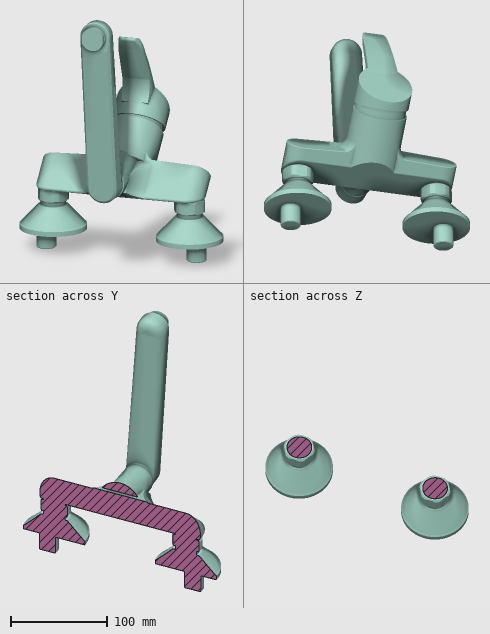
import cadquery as cq
import math

HEIGHT = 273.0
BODY_BOTTOM = 67.1
INLET_X = 74.8

AXIS_Z = 70.5
ARM_RADIUS = 16.7
ARM_TOP = 26.2
ARM_CROWN = 3.3
BARREL_RADIUS = 28.5
BARREL_START = 25.0
BARREL_END = 71.0
COLLAR_RADIUS = 26.8
COLLAR_END = 84.5
ARM_EDGE = 0.8
ARM_LOWER_EDGE = 2.2

SPOUT_AXIS_Z = 87.0
NECK_RADIUS = 17.0
NECK_FRONT = -42.3
NECK_REAR = 4.0
NECK_REAR_TOP = 112.0
GUSSET_REACH = 51.9
GUSSET_DEPTH = 30.5
GUSSET_BOW = 0.25
GUSSET_TIP_Z = 80.5
FLARE_RADIUS = 12.5
UNDERSIDE_FRONT = -21.3

CAP_RADIUS = 28.7
LEVER_ROOT_X = 16.0
LEVER_TIP_X = 13.5
LEVER_ROOT_Y = 60.5
LEVER_TIP_Y = 31.7
LEVER_END_Y = 19.0
LEVER_START = 88.0

SPOUT_RADIUS = 16.0
HEAD_Z = HEIGHT - SPOUT_RADIUS
SPOUT_REAR_LOW = -45.9
SPOUT_FRONT_LOW = -66.0
SPOUT_REAR_HIGH = -67.5
SPOUT_FRONT_HIGH = -89.3
ROUND_LOW = 2.2
ROUND_HIGH = 10.0
SPOUT_FRONT_BEVEL = 2.5
HEAD_FRONT = -87.3
HEAD_BEVEL = 0.8
JOINT_RADIUS = 15.5

OUTLET_RADIUS = 12.0
OUTLET_END = -95.8
OUTLET_FLAT_X = 11.2
OUTLET_FLAT_HEIGHT = 9.3
OUTLET_FLAT_DEPTH = 4.6

PIPE_OFFSET = 7.6
PIPE_RADIUS = 10.5
PIPE_BEVEL = 0.8
ROSE_BOTTOM = 21.0
ROSE_RIM_TOP = 26.2
ROSE_TOP = 47.2
ROSE_RADIUS = 35.2
ROSE_SHOULDER = 33.5
ROSE_SHOULDER_Z = 27.5
ROSE_TOP_RADIUS = 15.3
STEM_RADIUS = 13.0
NUT_BOTTOM = 51.3
NUT_TOP = 66.3
NUT_RADIUS = 16.5
NUT_FLATS = 30.5
NUT_BEVEL = 2.0
NUT_TURN = 30

OVERLAP = 2.7
LARGE = 546.0


def tilted(distance):
    """Plane square to the body axis, at a distance along that axis."""
    base = cq.Plane(origin=(0, 0, AXIS_Z), xDir=(1, 0, 0), normal=(0, 1, 1))
    return cq.Workplane(base).workplane(offset=distance)


def along_tilt():
    """Plane holding the X axis and the body axis."""
    return cq.Plane(origin=(0, 0, AXIS_Z), xDir=(1, 0, 0), normal=(0, -1, 1))


def along_spout(front, rear, radius, height):
    """Cylinder parallel to Y between two Y positions."""
    plane = cq.Workplane("XZ", origin=(0, front, height))
    return plane.circle(radius).extrude(front - rear)


def below_body():
    return cq.Workplane("XY").box(LARGE, LARGE, LARGE).translate((0, 0, BODY_BOTTOM - LARGE / 2))


def make_arm():
    half_length = INLET_X + ARM_RADIUS
    peak = ARM_TOP + ARM_CROWN
    slab = tilted(peak).slot2D(2 * half_length, 2 * ARM_RADIUS).extrude(-3 * peak)
    roof = (
        cq.Workplane(along_tilt())
        .moveTo(-half_length, -2 * peak)
        .lineTo(-half_length, ARM_TOP)
        .lineTo(-INLET_X, ARM_TOP)
        .lineTo(0, peak)
        .lineTo(INLET_X, ARM_TOP)
        .lineTo(half_length, ARM_TOP)
        .lineTo(half_length, -2 * peak)
        .close()
        .extrude(ARM_RADIUS, both=True)
    )
    arm = slab.intersect(roof).cut(below_body())
    arm = arm.faces("<Z").edges().fillet(ARM_LOWER_EDGE)
    upper_start = BODY_BOTTOM + 2 * ARM_LOWER_EDGE
    upper = cq.selectors.BoxSelector((-LARGE, -LARGE, upper_start), (LARGE, LARGE, LARGE))
    return arm.edges(upper).edges("not(#X)").fillet(ARM_EDGE)


def make_barrel():
    barrel = tilted(BARREL_START).circle(BARREL_RADIUS).extrude(BARREL_END - BARREL_START)
    heel = (
        tilted(BARREL_START)
        .moveTo(-BARREL_RADIUS, 0)
        .threePointArc((0, BARREL_RADIUS), (BARREL_RADIUS, 0))
        .close()
        .extrude(-2 * BARREL_START)
    )
    return barrel.union(heel).cut(below_body())


def make_neck():
    rear_half_height = (NECK_REAR_TOP - BODY_BOTTOM) / 2
    rear_centre = (NECK_REAR_TOP + BODY_BOTTOM) / 2
    return (
        cq.Workplane("XZ", origin=(0, NECK_FRONT, 0))
        .center(0, SPOUT_AXIS_Z)
        .ellipse(NECK_RADIUS, NECK_RADIUS)
        .workplane(offset=NECK_FRONT - NECK_REAR)
        .center(0, rear_centre - SPOUT_AXIS_Z)
        .ellipse(NECK_RADIUS, rear_half_height)
        .loft(ruled=True)
    )


def make_gussets():
    bow_x = NECK_RADIUS + GUSSET_BOW * (GUSSET_REACH - NECK_RADIUS)
    bow_depth = ARM_RADIUS + GUSSET_BOW * (GUSSET_DEPTH - ARM_RADIUS)
    webs = (
        tilted(ARM_TOP)
        .moveTo(-GUSSET_REACH, -ARM_RADIUS)
        .threePointArc((-bow_x, -bow_depth), (-NECK_RADIUS, -GUSSET_DEPTH))
        .lineTo(NECK_RADIUS, -GUSSET_DEPTH)
        .threePointArc((bow_x, -bow_depth), (GUSSET_REACH, -ARM_RADIUS))
        .lineTo(GUSSET_REACH, 0)
        .lineTo(-GUSSET_REACH, 0)
        .close()
        .extrude(-3 * ARM_TOP)
    )
    ridge_y = (ARM_TOP - ARM_RADIUS) / math.sqrt(2)
    ridge_z = AXIS_Z + (ARM_TOP + ARM_RADIUS) / math.sqrt(2)
    envelope = (
        cq.Workplane("YZ")
        .moveTo(ridge_y, ridge_z - ARM_EDGE)
        .lineTo(NECK_FRONT, SPOUT_AXIS_Z)
        .lineTo(NECK_FRONT, GUSSET_TIP_Z)
        .lineTo(UNDERSIDE_FRONT, BODY_BOTTOM)
        .lineTo(ridge_y, BODY_BOTTOM)
        .close()
        .extrude(GUSSET_REACH, both=True)
    )
    return webs.intersect(envelope)


def make_flare():
    foot = BARREL_RADIUS + FLARE_RADIUS
    middle = FLARE_RADIUS * (1 - math.sqrt(0.5))
    ring = (
        cq.Workplane(along_tilt())
        .moveTo(0, ARM_TOP)
        .lineTo(foot, ARM_TOP)
        .threePointArc((BARREL_RADIUS + middle, ARM_TOP + middle), (BARREL_RADIUS, ARM_TOP + FLARE_RADIUS))
        .lineTo(0, ARM_TOP + FLARE_RADIUS)
        .close()
        .revolve(360, (0, 0), (0, 1))
    )
    band = tilted(ARM_TOP).rect(2 * foot, 2 * ARM_RADIUS).extrude(FLARE_RADIUS)
    return ring.intersect(band)


def make_collar():
    return tilted(BARREL_START).circle(COLLAR_RADIUS).extrude(COLLAR_END - BARREL_START)


def make_lever():
    """Cap and lever: one side profile trimmed to the round cap and the tapering grip."""
    side_profile = (
        cq.Workplane("YZ")
        .moveTo(84.3, 114.6)
        .lineTo(63.5, 158.3)
        .threePointArc((47.5, 192.0), (25.0, 226.5))
        .threePointArc((22.0, 226.5), (21.8, 223.3))
        .lineTo(27.5, 213.7)
        .lineTo(47.0, 176.3)
        .threePointArc((47.2, 163.5), (41.8, 151.8))
        .lineTo(32.5, 142.5)
        .lineTo(78.3, 107.5)
        .close()
        .extrude(CAP_RADIUS + OVERLAP, both=True)
    )
    grip = (
        cq.Workplane("XY")
        .moveTo(-LEVER_ROOT_X, LEVER_ROOT_Y)
        .lineTo(-LEVER_TIP_X, LEVER_TIP_Y)
        .threePointArc((0, LEVER_END_Y), (LEVER_TIP_X, LEVER_TIP_Y))
        .lineTo(LEVER_ROOT_X, LEVER_ROOT_Y)
        .close()
        .extrude(HEIGHT)
        .intersect(tilted(LEVER_START).rect(LARGE, LARGE).extrude(LARGE))
    )
    shell = tilted(0).circle(CAP_RADIUS).extrude(HEIGHT)
    return side_profile.intersect(shell.union(grip))


def spout_section(height, front, rear, corner):
    """Level slice through the spout with its two rear corners rounded."""
    shift = corner * (1 - math.sqrt(0.5))
    return (
        cq.Workplane("XY", origin=(0, 0, height))
        .moveTo(-SPOUT_RADIUS, front)
        .lineTo(SPOUT_RADIUS, front)
        .lineTo(SPOUT_RADIUS, rear - corner)
        .threePointArc((SPOUT_RADIUS - shift, rear - shift), (SPOUT_RADIUS - corner, rear))
        .lineTo(corner - SPOUT_RADIUS, rear)
        .threePointArc((shift - SPOUT_RADIUS, rear - shift), (-SPOUT_RADIUS, rear - corner))
        .close()
        .wires()
        .val()
    )


def make_spout():
    low = spout_section(SPOUT_AXIS_Z, SPOUT_FRONT_LOW, SPOUT_REAR_LOW, ROUND_LOW)
    high = spout_section(HEAD_Z, SPOUT_FRONT_HIGH, SPOUT_REAR_HIGH, ROUND_HIGH)
    column = cq.Workplane(cq.Solid.makeLoft([low, high], True))
    foot = along_spout(SPOUT_FRONT_LOW, SPOUT_REAR_LOW, SPOUT_RADIUS, SPOUT_AXIS_Z)
    head = along_spout(SPOUT_FRONT_HIGH, SPOUT_REAR_HIGH, SPOUT_RADIUS, HEAD_Z)
    head = head.faces(">Y").edges().fillet(ROUND_HIGH)

    lean = (SPOUT_FRONT_HIGH - SPOUT_FRONT_LOW) / (HEAD_Z - SPOUT_AXIS_Z)
    front_at_zero = SPOUT_FRONT_LOW - lean * SPOUT_AXIS_Z
    behind_front = (
        cq.Workplane("YZ")
        .moveTo(front_at_zero, 0)
        .lineTo(front_at_zero + lean * HEIGHT, HEIGHT)
        .lineTo(0, HEIGHT)
        .lineTo(0, 0)
        .close()
        .extrude(SPOUT_RADIUS, both=True)
    )
    outline = (
        cq.Workplane("XZ")
        .center(0, (SPOUT_AXIS_Z + HEAD_Z) / 2)
        .slot2D(HEAD_Z - SPOUT_AXIS_Z + 2 * SPOUT_RADIUS, 2 * SPOUT_RADIUS, 90)
        .extrude(LARGE)
        .intersect(behind_front)
    )
    outline = outline.faces("<Y").edges().chamfer(SPOUT_FRONT_BEVEL)

    behind_head = cq.Workplane("XY").box(LARGE, LARGE, LARGE).translate((0, HEAD_FRONT + LARGE / 2, 0))
    spout = column.union(foot).union(head).intersect(outline).intersect(behind_head)
    return spout.faces("<Y").edges("%CIRCLE").chamfer(HEAD_BEVEL)


def make_joint():
    return along_spout(SPOUT_REAR_LOW - ROUND_LOW, NECK_FRONT + ROUND_LOW, JOINT_RADIUS, SPOUT_AXIS_Z)


def outlet_block(width):
    """Block centred on the outlet's end face."""
    block = cq.Workplane("XY").box(width, 2 * OUTLET_FLAT_DEPTH, OUTLET_FLAT_HEIGHT)
    return block.translate((0, OUTLET_END, HEAD_Z))


def make_outlet():
    outlet = along_spout(OUTLET_END, HEAD_FRONT + OVERLAP, OUTLET_RADIUS, HEAD_Z)
    side_flats = outlet_block(4 * OUTLET_RADIUS).cut(outlet_block(2 * OUTLET_FLAT_X))
    return outlet.cut(side_flats)


def make_inlet(side):
    """Union nut, rose and offset wall pipe; side is -1 or 1."""
    x = side * INLET_X
    rose = (
        cq.Workplane("XZ")
        .moveTo(0, ROSE_BOTTOM)
        .lineTo(ROSE_RADIUS, ROSE_BOTTOM)
        .lineTo(ROSE_RADIUS, ROSE_RIM_TOP)
        .lineTo(ROSE_SHOULDER, ROSE_SHOULDER_Z)
        .lineTo(ROSE_TOP_RADIUS, ROSE_TOP)
        .lineTo(STEM_RADIUS, ROSE_TOP)
        .lineTo(STEM_RADIUS, BODY_BOTTOM + OVERLAP)
        .lineTo(0, BODY_BOTTOM + OVERLAP)
        .close()
        .revolve(360, (0, 0), (0, 1))
        .translate((x, 0, 0))
    )
    nut_height = NUT_TOP - NUT_BOTTOM
    blank = cq.Workplane("XY").circle(NUT_RADIUS).extrude(nut_height).edges().chamfer(NUT_BEVEL)
    hexagon = cq.Workplane("XY").polygon(6, NUT_FLATS, circumscribed=True).extrude(nut_height)
    hexagon = hexagon.rotate((0, 0, 0), (0, 0, 1), NUT_TURN)
    nut = blank.intersect(hexagon).translate((x, 0, NUT_BOTTOM))
    pipe = (
        cq.Workplane("XY")
        .center(x + side * PIPE_OFFSET, 0)
        .circle(PIPE_RADIUS)
        .extrude(ROSE_BOTTOM + OVERLAP)
        .faces("<Z")
        .chamfer(PIPE_BEVEL)
    )
    return rose.union(nut).union(pipe)


result = make_arm().union(make_neck()).union(make_gussets()).union(make_barrel()).union(make_flare())
result = result.union(make_collar()).union(make_lever())
result = result.union(make_joint()).union(make_spout()).union(make_outlet())
for side in (-1, 1):
    result = result.union(make_inlet(side))